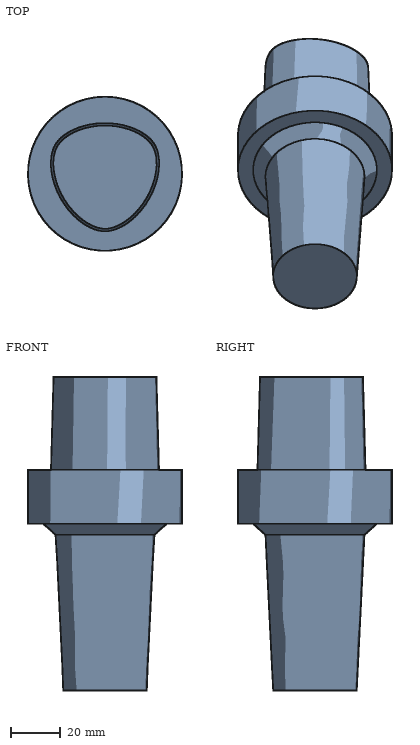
import math

import cadquery as cq

flange_diameter = 62.98
flange_height = 22.0

shank_length = 38.0
shank_base_diameter = 44.2
shank_end_diameter = 42.1
lobe_eccentricity = 1.4
lobe_count = 3
curve_points = 48

collar_height = 4.5
collar_diameter = 50.5

bar_length = 63.5
bar_root_diameter = 40.5
bar_tip_diameter = 34.2

flange_bottom = -flange_height
collar_bottom = flange_bottom - collar_height
bar_bottom = collar_bottom - bar_length


def polygon_point(mean_diameter, angle, height):
    """Point of the three-lobed constant-width curve, one lobe pointing to -Y."""
    reach = mean_diameter / 2 + lobe_eccentricity * math.cos(lobe_count * angle)
    reach_rate = -lobe_count * lobe_eccentricity * math.sin(lobe_count * angle)
    along = reach * math.cos(angle) - reach_rate * math.sin(angle)
    across = reach * math.sin(angle) + reach_rate * math.cos(angle)
    return cq.Vector(across, -along, height)


def polygon_wire(mean_diameter, height):
    """Closed smooth polygon outline lying at the given height."""
    step = 2 * math.pi / curve_points
    points = [polygon_point(mean_diameter, i * step, height) for i in range(curve_points)]
    return cq.Wire.assembleEdges([cq.Edge.makeSpline(points, periodic=True)])


def make_shank():
    """Tapered polygon shank standing on the flange."""
    base = polygon_wire(shank_base_diameter, 0)
    end = polygon_wire(shank_end_diameter, shank_length)
    return cq.Workplane(cq.Solid.makeLoft([base, end], True))


def make_round_body():
    """Flange, conical collar and tapered bar as one turned body."""
    return (
        cq.Workplane("YZ")
        .moveTo(0, 0)
        .lineTo(flange_diameter / 2, 0)
        .lineTo(flange_diameter / 2, flange_bottom)
        .lineTo(collar_diameter / 2, flange_bottom)
        .lineTo(bar_root_diameter / 2, collar_bottom)
        .lineTo(bar_tip_diameter / 2, bar_bottom)
        .lineTo(0, bar_bottom)
        .close()
        .revolve(360, (0, 0, 0), (0, 1, 0))
    )


result = make_round_body().union(make_shank())